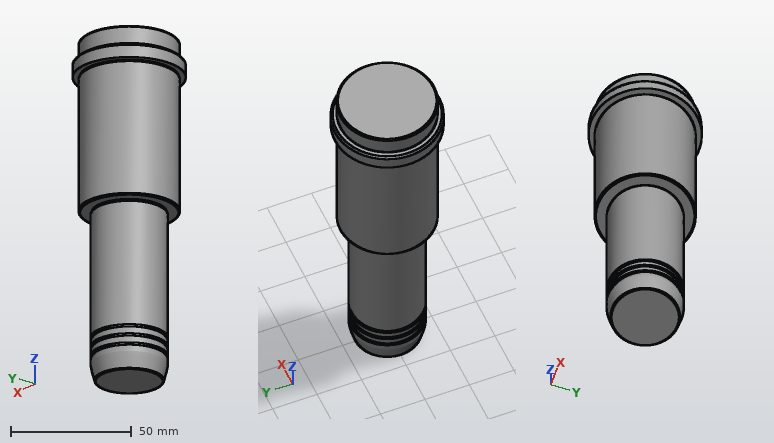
import cadquery as cq

total_height = 150.0
collar_radius = 47.0 / 2
body_radius = 21.0
shank_radius = 16.0
tip_radius = 14.4

shank_top = 75.0
collar_bottom = 135.0
collar_top = 141.3
tip_height = 7.2

edge_chamfer = 0.6
collar_chamfer = 0.9
body_chamfer = 0.6
tip_chamfer = 0.5
relief_depth = 0.5
relief_height = 0.9
neck_relief_height = 1.0
tip_bulge = 0.2

groove_count = 3
groove_bottom = 10.0
groove_pitch = 4.0
groove_width = 1.0
groove_depth = 0.5


def stepped_pin():
    """Revolve the half outline in the XZ plane about the Z axis."""
    tip_middle = ((tip_radius + shank_radius) / 2 + tip_bulge, (tip_chamfer + tip_height) / 2)
    body_relief = body_radius - relief_depth
    outline = (
        cq.Workplane("XZ")
        .lineTo(tip_radius - tip_chamfer, 0)
        .lineTo(tip_radius, tip_chamfer)
        .threePointArc(tip_middle, (shank_radius, tip_height))
        .lineTo(shank_radius, shank_top - neck_relief_height)
        .lineTo(shank_radius - relief_depth, shank_top)
        .lineTo(body_radius - body_chamfer, shank_top)
        .lineTo(body_radius, shank_top + body_chamfer)
        .lineTo(body_radius, collar_bottom - relief_height)
        .lineTo(body_relief, collar_bottom)
        .lineTo(collar_radius, collar_bottom)
        .lineTo(collar_radius, collar_top - collar_chamfer)
        .lineTo(collar_radius - collar_chamfer, collar_top)
        .lineTo(body_relief, collar_top)
        .lineTo(body_radius, collar_top + relief_height)
        .lineTo(body_radius, total_height - edge_chamfer)
        .lineTo(body_radius - edge_chamfer, total_height)
        .lineTo(0, total_height)
        .close()
    )
    return outline.revolve(360, (0, 0, 0), (0, 1, 0))


def shank_groove(bottom):
    """Ring with a shallow round section that cuts into the shank."""
    return (
        cq.Workplane("XZ")
        .moveTo(shank_radius, bottom)
        .threePointArc(
            (shank_radius - groove_depth, bottom + groove_width / 2),
            (shank_radius, bottom + groove_width),
        )
        .close()
        .revolve(360, (0, 0, 0), (0, 1, 0))
    )


result = stepped_pin()
for index in range(groove_count):
    result = result.cut(shank_groove(groove_bottom + index * groove_pitch))